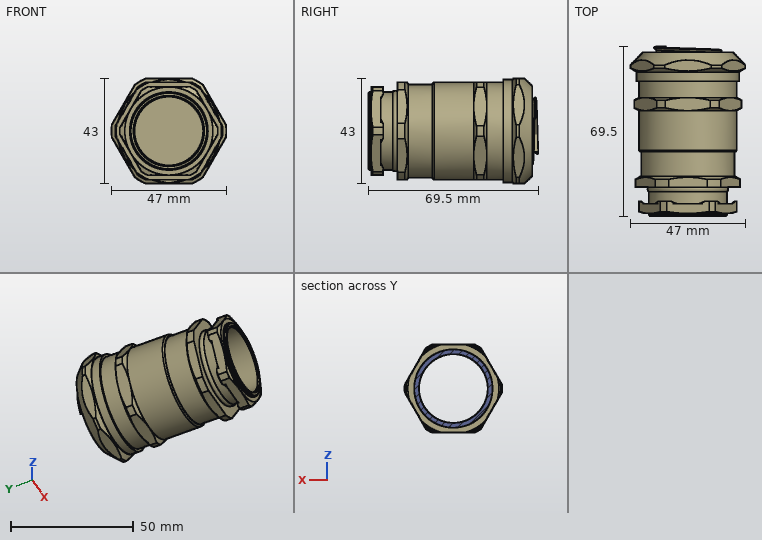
import cadquery as cq
import math


THREAD_RADIUS = 16.0
THREAD_CHAMFER = 0.5
BORE_RADIUS = 14.0
BORE_CHAMFER = 0.5
BORE_DEPTH = 15.0

BURIED_RADIUS = BORE_RADIUS + BORE_CHAMFER

HEX_CHAMFER_ANGLE = 30.0

LOCKNUT_START = 1.1
LOCKNUT_END = 6.05
LOCKNUT_FLATS = 36.0
LOCKNUT_CORNER_RADIUS = 20.0
LOCKNUT_CHAMFER_ANGLE = 20.0
DISH_DEPTH = 0.95
DISH_FLOOR_RADIUS = 18.6
DISH_RIM_RADIUS = 19.3

RING_RADIUS = 16.5
RING_FRONT_RADIUS = 16.05
RING_REAR_RADIUS = 16.35
RING_WIDTH = 1.95

NECK_RADIUS = 19.1
BODY_START = 26.2
BODY_RADIUS = 20.0
BODY_CHAMFER = 0.65

FLANGE_START = 11.85
FLANGE_END = 16.35
FLANGE_FLATS = 2 * BODY_RADIUS
FLANGE_CORNER_RADIUS = 21.5

MIDDLE_HEX_START = 43.05
MIDDLE_HEX_END = 48.4
MIDDLE_HEX_FLATS = 2 * BODY_RADIUS
MIDDLE_HEX_CORNER_RADIUS = 22.0

COLLAR_START = 55.05
COLLAR_RADIUS = 21.1
CAP_START = 58.85
CAP_END = 67.0
CAP_FLATS = 43.0
CAP_CORNER_RADIUS = 23.5
CAP_FACE_RADIUS = 18.4
CAP_CONE_LENGTH = 5.3
CAP_REAR_EDGE = 60.4

HOSE_END = 69.47
HOSE_PITCH = 2.5
HOSE_START_ANGLE = -90.0
HOSE_END_ANGLE = 223.0
HOSE_CREST_RADIUS = 13.85
HOSE_ROOT_RADIUS = 12.95
HOSE_INNER_RADIUS = 12.3
HOSE_LIP = 0.4


def revolve_about_y(points):
    """Solid of revolution from (radius, y) points."""
    return cq.Workplane("XY").polyline(points).close().revolve(360, (0, 0), (0, 1))


def hex_prism(flats, start, end):
    """Hexagonal prism along Y with two flats facing +Z and -Z."""
    corner_diameter = flats / math.cos(math.radians(30))
    return cq.Workplane("XZ").workplane(offset=-start).polygon(6, corner_diameter).extrude(start - end)


def cone_length(outer_radius, inner_radius, angle):
    """Length along Y of a cone whose surface leans by the angle from a plane across Y."""
    return (outer_radius - inner_radius) * math.tan(math.radians(angle))


def make_body():
    """Stepped turned body from the spigot to the cap face, with the blind front bore."""
    return revolve_about_y([
        (0, BORE_DEPTH),
        (BORE_RADIUS, BORE_DEPTH),
        (BORE_RADIUS, BORE_CHAMFER),
        (BORE_RADIUS + BORE_CHAMFER, 0),
        (THREAD_RADIUS - THREAD_CHAMFER, 0),
        (THREAD_RADIUS, THREAD_CHAMFER),
        (THREAD_RADIUS, FLANGE_START),
        (NECK_RADIUS, FLANGE_START),
        (NECK_RADIUS, BODY_START),
        (BODY_RADIUS - BODY_CHAMFER, BODY_START),
        (BODY_RADIUS, BODY_START + BODY_CHAMFER),
        (BODY_RADIUS, COLLAR_START),
        (COLLAR_RADIUS, COLLAR_START),
        (COLLAR_RADIUS, CAP_START),
        (CAP_FACE_RADIUS, CAP_START),
        (CAP_FACE_RADIUS, CAP_END),
        (0, CAP_END),
    ])


def make_locknut():
    face_radius = LOCKNUT_FLATS / 2
    chamfer = cone_length(LOCKNUT_CORNER_RADIUS, face_radius, LOCKNUT_CHAMFER_ANGLE)
    dish_floor = LOCKNUT_END - DISH_DEPTH
    envelope = revolve_about_y([
        (BURIED_RADIUS, LOCKNUT_START),
        (face_radius, LOCKNUT_START),
        (LOCKNUT_CORNER_RADIUS, LOCKNUT_START + chamfer),
        (LOCKNUT_CORNER_RADIUS, LOCKNUT_END),
        (DISH_RIM_RADIUS, LOCKNUT_END),
        (DISH_FLOOR_RADIUS, dish_floor),
        (BURIED_RADIUS, dish_floor),
    ])
    return hex_prism(LOCKNUT_FLATS, LOCKNUT_START, LOCKNUT_END).intersect(envelope)


def make_sealing_ring():
    """Ring with a crowned rim, set against the flange face."""
    ring_start = FLANGE_START - RING_WIDTH
    return (
        cq.Workplane("XY")
        .moveTo(BURIED_RADIUS, FLANGE_START)
        .lineTo(RING_REAR_RADIUS, FLANGE_START)
        .threePointArc((RING_RADIUS, FLANGE_START - RING_WIDTH / 2), (RING_FRONT_RADIUS, ring_start))
        .lineTo(BURIED_RADIUS, ring_start)
        .close()
        .revolve(360, (0, 0), (0, 1))
    )


def make_flange():
    chamfer = cone_length(FLANGE_CORNER_RADIUS, NECK_RADIUS, HEX_CHAMFER_ANGLE)
    envelope = revolve_about_y([
        (BURIED_RADIUS, FLANGE_START),
        (FLANGE_CORNER_RADIUS, FLANGE_START),
        (FLANGE_CORNER_RADIUS, FLANGE_END - chamfer),
        (NECK_RADIUS, FLANGE_END),
        (BURIED_RADIUS, FLANGE_END),
    ])
    return hex_prism(FLANGE_FLATS, FLANGE_START, FLANGE_END).intersect(envelope)


def make_middle_hex():
    chamfer = cone_length(MIDDLE_HEX_CORNER_RADIUS, BODY_RADIUS, HEX_CHAMFER_ANGLE)
    envelope = revolve_about_y([
        (BURIED_RADIUS, MIDDLE_HEX_START),
        (BODY_RADIUS, MIDDLE_HEX_START),
        (MIDDLE_HEX_CORNER_RADIUS, MIDDLE_HEX_START + chamfer),
        (MIDDLE_HEX_CORNER_RADIUS, MIDDLE_HEX_END - chamfer),
        (BODY_RADIUS, MIDDLE_HEX_END),
        (BURIED_RADIUS, MIDDLE_HEX_END),
    ])
    return hex_prism(MIDDLE_HEX_FLATS, MIDDLE_HEX_START, MIDDLE_HEX_END).intersect(envelope)


def make_cap():
    front_face_radius = CAP_CORNER_RADIUS - (CAP_REAR_EDGE - CAP_START) / math.tan(
        math.radians(HEX_CHAMFER_ANGLE))
    envelope = revolve_about_y([
        (0, CAP_START),
        (front_face_radius, CAP_START),
        (CAP_CORNER_RADIUS, CAP_REAR_EDGE),
        (CAP_CORNER_RADIUS, CAP_END - CAP_CONE_LENGTH),
        (CAP_FACE_RADIUS, CAP_END),
        (0, CAP_END),
    ])
    return hex_prism(CAP_FLATS, CAP_START, CAP_END).intersect(envelope)


def make_hose_thread():
    """Partial turn of a sharp-lipped helical wall, its foot sunk into the cap."""
    turns = (HOSE_END_ANGLE - HOSE_START_ANGLE) / 360
    rise = HOSE_PITCH * turns
    flank = HOSE_CREST_RADIUS - HOSE_ROOT_RADIUS
    foot = -(rise + flank)
    helix = cq.Wire.makeHelix(HOSE_PITCH, rise, HOSE_CREST_RADIUS)
    wall = (
        cq.Workplane("XZ")
        .polyline([
            (HOSE_INNER_RADIUS, foot),
            (HOSE_ROOT_RADIUS, foot),
            (HOSE_ROOT_RADIUS, -flank),
            (HOSE_CREST_RADIUS, 0),
            (HOSE_CREST_RADIUS - HOSE_LIP, HOSE_LIP),
            (HOSE_INNER_RADIUS, HOSE_LIP),
        ])
        .close()
        .sweep(cq.Workplane(obj=helix), isFrenet=True)
    )
    wall = wall.mirror("XZ").rotate((0, 0, 0), (1, 0, 0), -90)
    wall = wall.rotate((0, 0, 0), (0, 1, 0), -HOSE_START_ANGLE)
    return wall.translate((0, HOSE_END - HOSE_LIP - rise, 0))


result = make_body()
for feature in (
    make_locknut(),
    make_sealing_ring(),
    make_flange(),
    make_middle_hex(),
    make_cap(),
    make_hose_thread(),
):
    result = result.union(feature)